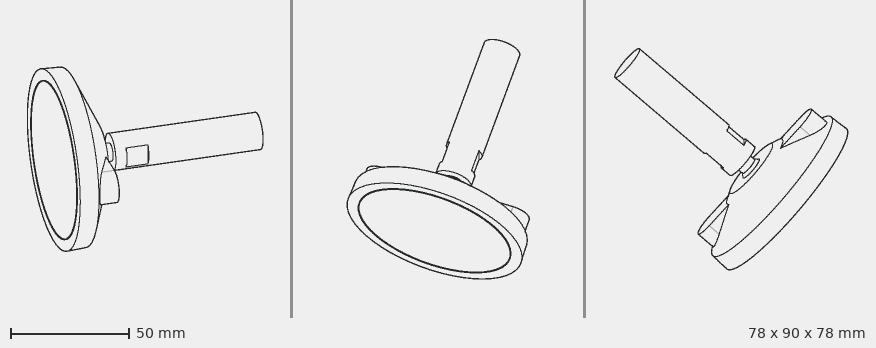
import cadquery as cq

total_length = 90.0

base_diameter = 78.0
rim_top_diameter = 77.2
rim_height = 8.4
base_height = 20.1
base_top_diameter = 27.5

groove_outer_diameter = 68.0
groove_inner_diameter = 67.5
groove_depth = 0.3

collar_diameter = 10.5
neck_diameter = 7.8
collar_top = 21.5

stem_diameter = 16.0
stem_start = 25.0
flat_start = 30.0
flat_length = 9.6
across_flats = 13.1

lug_top = 18.1
lug_width = 14.6
lug_center_x = 29.0


def cylinder(diameter, start, end):
    """Cylinder along the part axis from y = start to y = end."""
    return cq.Workplane("XZ", origin=(0, start, 0)).circle(diameter / 2).extrude(start - end)


def make_foot_body():
    """Base, neck and stem turned around the Y axis."""
    profile = [
        (0, 0),
        (base_diameter / 2, 0),
        (rim_top_diameter / 2, rim_height),
        (base_top_diameter / 2, base_height),
        (collar_diameter / 2, base_height),
        (neck_diameter / 2, collar_top),
        (neck_diameter / 2, stem_start),
        (stem_diameter / 2, stem_start),
        (stem_diameter / 2, total_length),
        (0, total_length),
    ]
    return cq.Workplane("XY").polyline(profile).close().revolve(360, (0, 0, 0), (0, 1, 0))


def make_lugs():
    """One bar across the base whose rounded ends stand out of the cone."""
    bar_length = 2 * lug_center_x + lug_width
    bar_start = rim_height / 2
    return (
        cq.Workplane("XZ", origin=(0, bar_start, 0))
        .slot2D(bar_length, lug_width)
        .extrude(bar_start - lug_top)
    )


def make_wrench_flats():
    """Material outside the across-flats width, on the -X and +X sides of the stem."""
    between_flats = cq.Workplane("XY").box(across_flats, total_length * 2, stem_diameter * 2)
    return cylinder(stem_diameter, flat_start, flat_start + flat_length).cut(between_flats)


def make_sole_groove():
    """Thin ring cut into the underside of the base."""
    outer = cylinder(groove_outer_diameter, 0, groove_depth)
    inner = cylinder(groove_inner_diameter, 0, groove_depth)
    return outer.cut(inner)


result = (
    make_foot_body()
    .union(make_lugs())
    .cut(make_wrench_flats())
    .cut(make_sole_groove())
)